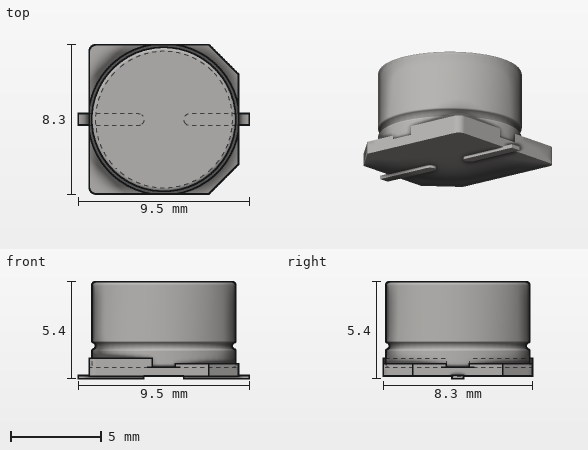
import cadquery as cq
import math

total_height = 5.4
base_bottom = 0.15
base_low_top = 0.85
base_high_top = 1.15
seat_floor = 0.65

base_width = 8.3
base_half = base_width / 2
corner_radius = 0.4
corner_bevel = 1.65
seat_radius = 4.2

can_radius = 4.0
can_edge_radius = 0.2

groove_height = 1.835
groove_radius = 0.2
groove_depth = 0.2
lip_radius = 0.1

lead_span = 9.5
lead_width = 0.65
lead_thickness = 0.2
lead_inner_end = 1.1


def make_base():
    """Square plate, rounded at -X, bevelled at +X, with a round seat for the can."""
    plate_height = base_high_top - base_bottom
    plate = (
        cq.Workplane("XY", origin=(0, 0, base_bottom))
        .rect(base_width, base_width)
        .extrude(plate_height)
    )
    plate = plate.edges("|Z and <X").fillet(corner_radius)
    plate = plate.edges("|Z and >X").chamfer(corner_bevel)

    low_side = (
        cq.Workplane("XY", origin=(0, 0, base_low_top))
        .rect(base_half, base_width)
        .extrude(plate_height)
        .translate((base_half / 2, 0, 0))
    )
    seat = (
        cq.Workplane("XY", origin=(0, 0, seat_floor))
        .circle(seat_radius)
        .extrude(plate_height)
    )
    return plate.cut(low_side).cut(seat)


def make_can():
    """Turned can with rounded ends and a beaded groove near its foot."""
    diagonal = math.sqrt(0.5)
    edge_inset = can_edge_radius * (1 - diagonal)
    flat_radius = can_radius - can_edge_radius

    groove_center = can_radius - groove_depth + groove_radius
    lip_center = can_radius - lip_radius
    center_gap = groove_radius + lip_radius
    lip_offset = math.sqrt(center_gap**2 - (groove_center - lip_center) ** 2)
    share = groove_radius / center_gap
    tangent_radius = groove_center + (lip_center - groove_center) * share
    tangent_offset = lip_offset * share

    lip_mid_angle = math.atan2(lip_offset, groove_center - lip_center) / 2
    lip_mid_radius = lip_center + lip_radius * math.cos(lip_mid_angle)
    lip_mid_offset = lip_offset - lip_radius * math.sin(lip_mid_angle)

    profile = (
        cq.Workplane("XZ")
        .moveTo(0, seat_floor)
        .lineTo(flat_radius, seat_floor)
        .threePointArc(
            (can_radius - edge_inset, seat_floor + edge_inset),
            (can_radius, seat_floor + can_edge_radius),
        )
        .lineTo(can_radius, groove_height - lip_offset)
        .threePointArc(
            (lip_mid_radius, groove_height - lip_mid_offset),
            (tangent_radius, groove_height - tangent_offset),
        )
        .threePointArc(
            (can_radius - groove_depth, groove_height),
            (tangent_radius, groove_height + tangent_offset),
        )
        .threePointArc(
            (lip_mid_radius, groove_height + lip_mid_offset),
            (can_radius, groove_height + lip_offset),
        )
        .lineTo(can_radius, total_height - can_edge_radius)
        .threePointArc(
            (can_radius - edge_inset, total_height - edge_inset),
            (flat_radius, total_height),
        )
        .lineTo(0, total_height)
        .close()
    )
    return profile.revolve(360, (0, 0, 0), (0, 1, 0))


def make_lead(side):
    """Flat lead under the base, rounded at its inner end; side is -1 or +1 along X."""
    half_width = lead_width / 2
    outer_x = side * lead_span / 2
    inner_x = side * lead_inner_end
    round_start_x = side * (lead_inner_end + half_width)
    return (
        cq.Workplane("XY")
        .moveTo(outer_x, -half_width)
        .lineTo(round_start_x, -half_width)
        .threePointArc((inner_x, 0), (round_start_x, half_width))
        .lineTo(outer_x, half_width)
        .close()
        .extrude(lead_thickness)
    )


result = make_base().union(make_can())
for lead_side in (-1, 1):
    result = result.union(make_lead(lead_side))